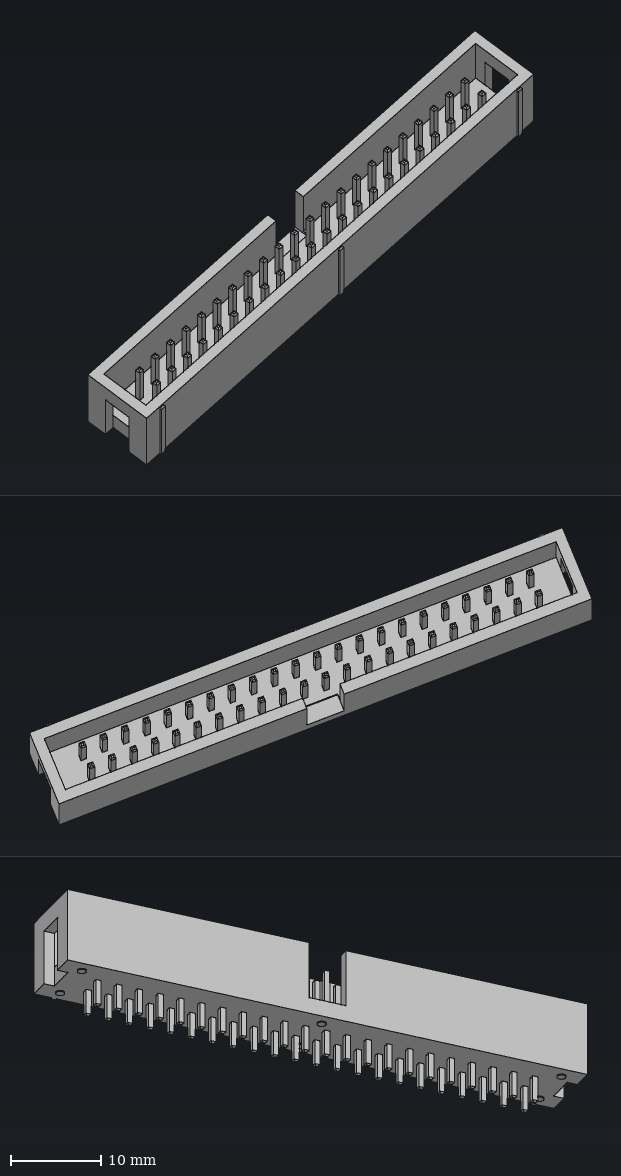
import cadquery as cq

LENGTH = 63.55
WIDTH = 8.85
HEIGHT = 8.9
WALL = 1.3
FLOOR = 2.35

PITCH = 2.55
ROWS = 22
COLUMNS = 2
PIN_SIZE = 0.65
PIN_TIP_CHAMFER = 0.2
PIN_BELOW = 3.2
PIN_TOP_GAP = 1.2

END_SLOT_WIDTH = 3.5
END_SLOT_TOP_GAP = 2.3

NOTCH_WIDTH = 4.45
NOTCH_DEPTH = 2.0
NOTCH_FLOOR_SINK = 0.4

STATION_OFFSET = 29.3
STATIONS = (-STATION_OFFSET, 0, STATION_OFFSET)
RIB_WIDTH = 0.65
RIB_PROJECTION = 0.25
RIB_TOP_GAP = 0.3
STANDOFF_DIAMETER = 1.0
STANDOFF_HEIGHT = 0.1
STANDOFF_X = 2.85


def box(x_range, y_range, z_range):
    """Axis-aligned box between the given limits."""
    (x0, x1), (y0, y1), (z0, z1) = x_range, y_range, z_range
    return cq.Workplane("XY").box(x1 - x0, y1 - y0, z1 - z0, centered=False).translate((x0, y0, z0))


def centered_range(size, center=0):
    """Limits of a length placed symmetrically about a center."""
    return center - size / 2, center + size / 2


def make_housing():
    """Open-top box with its end slots and polarizing notch."""
    housing = box(centered_range(WIDTH), centered_range(LENGTH), (0, HEIGHT))
    cavity = box(
        centered_range(WIDTH - 2 * WALL),
        centered_range(LENGTH - 2 * WALL),
        (FLOOR, HEIGHT),
    )
    housing = housing.cut(cavity)

    for side in (-1, 1):
        wall_center = side * (LENGTH - WALL) / 2
        end_slot = box(
            centered_range(END_SLOT_WIDTH),
            centered_range(WALL, wall_center),
            (0, HEIGHT - END_SLOT_TOP_GAP),
        )
        housing = housing.cut(end_slot)

    notch = box(
        (-WIDTH / 2, -WIDTH / 2 + NOTCH_DEPTH),
        centered_range(NOTCH_WIDTH),
        (FLOOR - NOTCH_FLOOR_SINK, HEIGHT),
    )
    return housing.cut(notch)


def make_ribs():
    """Vertical ribs on the +X wall, rooted inside the wall."""
    ribs = cq.Workplane("XY")
    for y in STATIONS:
        rib = box(
            (WIDTH / 2 - WALL / 2, WIDTH / 2 + RIB_PROJECTION),
            centered_range(RIB_WIDTH, y),
            (0, HEIGHT - RIB_TOP_GAP),
        )
        ribs = ribs.add(rib)
    return ribs.combine()


def make_standoffs():
    """Low round feet under the housing."""
    feet = [(x, y) for x in (-STANDOFF_X, STANDOFF_X) for y in STATIONS]
    return (
        cq.Workplane("XY")
        .pushPoints(feet)
        .circle(STANDOFF_DIAMETER / 2)
        .extrude(-STANDOFF_HEIGHT)
    )


def make_pins():
    """Square pins with chamfered tips, passing through the floor."""
    pin = box(
        centered_range(PIN_SIZE),
        centered_range(PIN_SIZE),
        (-PIN_BELOW, HEIGHT - PIN_TOP_GAP),
    )
    pin = pin.faces("<Z or >Z").chamfer(PIN_TIP_CHAMFER).val()
    grid = cq.Workplane("XY").rarray(PITCH, PITCH, COLUMNS, ROWS)
    return grid.eachpoint(lambda location: pin.moved(location))


result = make_housing().union(make_ribs()).union(make_standoffs()).union(make_pins())